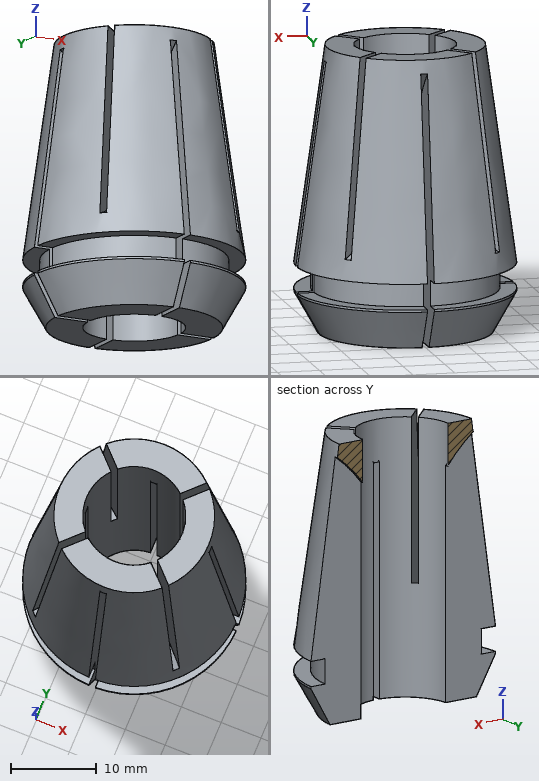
import cadquery as cq
import math

height = 34.0
max_radius = 13.0
top_radius = 9.35
bottom_radius = 10.3
bore_radius = 6.0

groove_radius = 11.0
groove_top = 8.13
groove_bottom = 5.05
rim_bottom = 4.8

slot_count = 4
slot_width = 0.8
saw_radius = 20.0
slot_reach = max_radius + 0.68
nose_slot_outer_end = 32.37
nose_slot_inner_end = 28.75
top_slot_outer_end = 10.57
top_slot_inner_end = 13.87


def taper_radius(z):
    """Radius of the long outer taper at height z."""
    fraction = (z - groove_top) / (height - groove_top)
    return max_radius + fraction * (top_radius - max_radius)


def collet_body():
    """Revolve the wall between the bore and the stepped outer taper."""
    profile = [
        (bore_radius, 0),
        (bottom_radius, 0),
        (max_radius, rim_bottom),
        (max_radius, groove_bottom),
        (groove_radius, groove_bottom),
        (groove_radius, groove_top),
        (max_radius, groove_top),
        (top_radius, height),
        (bore_radius, height),
    ]
    return cq.Workplane("XZ").polyline(profile).close().revolve(360, (0, 0), (0, 1))


def radial_slots(open_end, inner_end, outer_end, start_angle):
    """Evenly spaced slot cutters from a face to an arc between the bore and the taper."""
    outer_radius = taper_radius(outer_end)
    run = outer_radius - bore_radius
    rise = outer_end - inner_end
    chord = math.hypot(run, rise)
    bulge = saw_radius - math.sqrt(saw_radius**2 - (chord / 2) ** 2)
    away = 1 if inner_end > open_end else -1
    arc_middle = (
        (bore_radius + outer_radius) / 2 - bulge * abs(rise) / chord,
        (inner_end + outer_end) / 2 + away * bulge * run / chord,
    )
    cutter = (
        cq.Workplane("XZ")
        .moveTo(0, open_end)
        .lineTo(0, inner_end)
        .lineTo(bore_radius, inner_end)
        .threePointArc(arc_middle, (outer_radius, outer_end))
        .lineTo(slot_reach, outer_end)
        .lineTo(slot_reach, open_end)
        .close()
        .extrude(slot_width / 2, both=True)
    )
    slots = cq.Workplane("XY")
    for index in range(slot_count):
        angle = start_angle + index * 360 / slot_count
        slots = slots.union(cutter.rotate((0, 0, 0), (0, 0, 1), angle))
    return slots


half_pitch = 180 / slot_count
nose_slots = radial_slots(0, nose_slot_inner_end, nose_slot_outer_end, 0)
top_slots = radial_slots(height, top_slot_inner_end, top_slot_outer_end, half_pitch)
result = collet_body().cut(nose_slots).cut(top_slots)